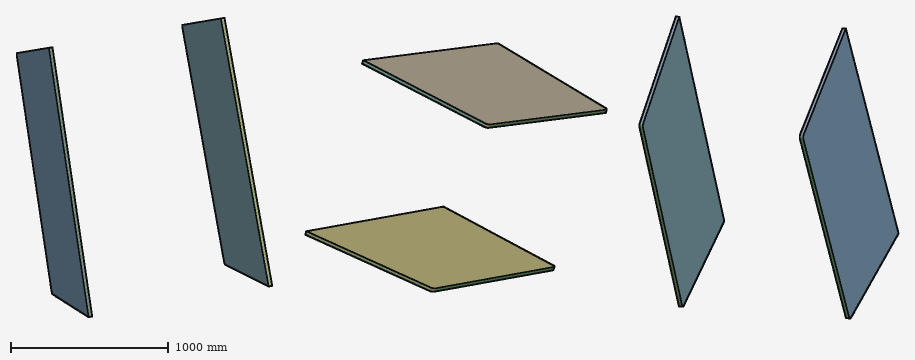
import math

import cadquery as cq

left_corner = (-8.0, 1316.0)
top_corner = (743.0, 1891)
right_corner = (1660.0, 408.0)
bottom_corner = (811.0, -8.0)

thickness = 25.0
corner_radius = 25.0

rear_plate_y = 1097
rear_plate_angle = 3.3
rear_plate_slope = math.tan(math.radians(rear_plate_angle))


def rounded_prism(depth):
    """Four-sided outline running from Y = 0 to Y = depth, with its left and bottom corners rounded."""
    outline = [left_corner, top_corner, right_corner, bottom_corner]
    prism = cq.Workplane("XZ").polyline(outline).close().extrude(-depth)
    for corner_x, corner_z in (left_corner, bottom_corner):
        corner_edge = cq.selectors.NearestToPointSelector((corner_x, depth / 2, corner_z))
        prism = prism.edges("|Y").edges(corner_edge).fillet(corner_radius)
    return prism


def sloping_slab():
    """Slab between two parallel sloping planes, larger than the plate outline on every side."""
    margin = 95
    start_x = left_corner[0] - margin
    end_x = right_corner[0] + margin
    start_y = rear_plate_y + start_x * rear_plate_slope
    end_y = rear_plate_y + end_x * rear_plate_slope
    thickness_along_y = thickness / math.cos(math.radians(rear_plate_angle))
    section = [
        (start_x, start_y),
        (end_x, end_y),
        (end_x, end_y + thickness_along_y),
        (start_x, start_y + thickness_along_y),
    ]
    bottom_z = bottom_corner[1] - margin
    height = top_corner[1] + margin - bottom_z
    return cq.Workplane("XY", origin=(0, 0, bottom_z)).polyline(section).close().extrude(height)


def make_front_plate():
    """Upright plate with its front face on Y = 0."""
    return rounded_prism(thickness)


def make_rear_plate():
    """Sloping plate whose rim runs along Y, directly in line with the front plate's rim."""
    slab = sloping_slab()
    prism_depth = slab.val().BoundingBox().ymax
    return slab.intersect(rounded_prism(prism_depth))


front_plate = make_front_plate()
rear_plate = make_rear_plate()

result = cq.Compound.makeCompound([front_plate.val(), *rear_plate.solids().vals()])